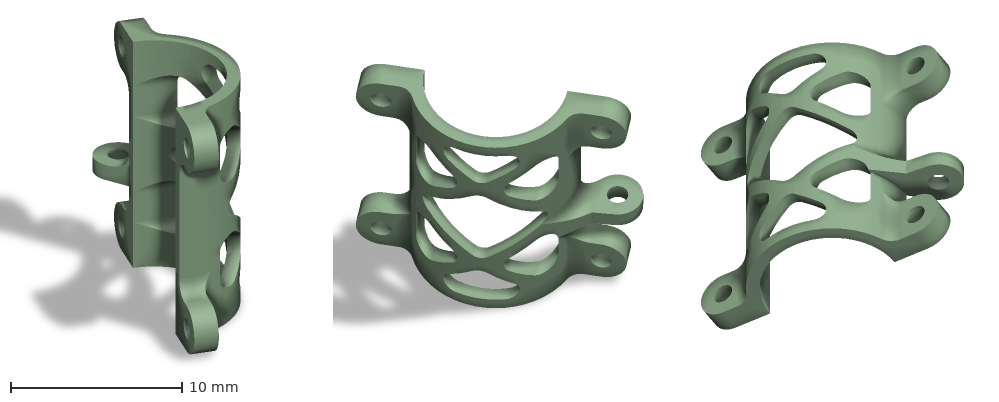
import cadquery as cq
import math

LENGTH = 15.0
BORE_RADIUS = 4.25
WALL = 0.8
OUTER_RADIUS = BORE_RADIUS + WALL

EAR_RADIUS = 1.5
EAR_THICKNESS = 1.5
EAR_HOLE_X = OUTER_RADIUS + EAR_RADIUS
EAR_HOLE_Z = LENGTH / 2 - EAR_RADIUS
HOLE_DIAMETER = 1.25
BLEND_RADIUS = 1.0

LUG_RADIUS = 1.5
LUG_THICKNESS = 1.0
LUG_TOP_Z = -1.5
LUG_BOTTOM_Z = LUG_TOP_Z - LUG_THICKNESS
LUG_HOLE_X = -7.24
LUG_BEND = (-6.0, 1.6)

WINDOW_FILLET = 0.75
DIAMOND_HALF_WIDTH = BORE_RADIUS
DIAMOND_HALF_HEIGHT = 3.08
STRUT_SLOPE = DIAMOND_HALF_HEIGHT / DIAMOND_HALF_WIDTH
CROSSING_Z = 3.5
END_WINDOW_TIP_Z = 2 * CROSSING_Z - DIAMOND_HALF_HEIGHT
SIDE_WINDOW_TIP_X = 0.86
RIM = WALL


def upright_cylinder(radius, bottom_z, height, centre_x=0):
    base = cq.Workplane("XY").workplane(offset=bottom_z)
    return base.center(centre_x, 0).circle(radius).extrude(height)


def make_shell():
    tube = upright_cylinder(OUTER_RADIUS, -LENGTH / 2, LENGTH)
    back_half = cq.Workplane("XY").box(
        2 * OUTER_RADIUS, OUTER_RADIUS, LENGTH, centered=(True, False, True)
    )
    return tube.intersect(back_half)


def ear_pin(radius, side, end):
    """Cylinder along Y on an ear's hole axis, as deep as the ear is thick."""
    plane = cq.Workplane("XZ").center(side * EAR_HOLE_X, end * EAR_HOLE_Z)
    return plane.circle(radius).extrude(-EAR_THICKNESS)


def make_ear(side, end):
    """Flat round-ended ear reaching from the bore radius out to its hole."""
    reach = EAR_HOLE_X - BORE_RADIUS
    plate = (
        cq.Workplane("XY")
        .box(reach, EAR_THICKNESS, 2 * EAR_RADIUS, centered=(True, False, True))
        .translate((side * (EAR_HOLE_X - reach / 2), 0, end * EAR_HOLE_Z))
    )
    return plate.union(ear_pin(EAR_RADIUS, side, end))


def blend_ears(body):
    """Round the corners where the ears meet the shell, along their backs and inner ends."""
    back_x = math.sqrt(OUTER_RADIUS**2 - EAR_THICKNESS**2)
    inner_edge_x = (back_x + OUTER_RADIUS) / 2
    inner_z = EAR_HOLE_Z - EAR_RADIUS
    for side in (-1, 1):
        for end in (-1, 1):
            back_edge = cq.selectors.NearestToPointSelector(
                (side * back_x, EAR_THICKNESS, end * EAR_HOLE_Z)
            )
            inner_edge = cq.selectors.NearestToPointSelector(
                (side * inner_edge_x, EAR_THICKNESS / 2, end * inner_z)
            )
            body = body.edges(cq.selectors.SumSelector(back_edge, inner_edge)).fillet(BLEND_RADIUS)
    return body


def tangent_point(x, y, centre_x, radius, turn):
    """Where a line from (x, y) touches a circle centred on the X axis; turn picks the side."""
    distance = math.hypot(x - centre_x, y)
    angle = math.atan2(y, x - centre_x) + turn * math.acos(radius / distance)
    return centre_x + radius * math.cos(angle), radius * math.sin(angle)


def make_lug():
    """Eye joined to the shell by an arm, with a concave blend from its top up the shell."""
    shell_touch = tangent_point(*LUG_BEND, 0, OUTER_RADIUS, -1)
    back_touch = tangent_point(*LUG_BEND, LUG_HOLE_X, LUG_RADIUS, 1)
    front_touch = tangent_point(-OUTER_RADIUS, 0, LUG_HOLE_X, LUG_RADIUS, -1)
    shell_middle_angle = math.atan2(shell_touch[1], -shell_touch[0]) / 2
    shell_middle = (
        -OUTER_RADIUS * math.cos(shell_middle_angle),
        OUTER_RADIUS * math.sin(shell_middle_angle),
    )
    column = (
        cq.Workplane("XY")
        .workplane(offset=LUG_BOTTOM_Z)
        .moveTo(-OUTER_RADIUS, 0)
        .lineTo(*front_touch)
        .threePointArc((LUG_HOLE_X - LUG_RADIUS, 0), back_touch)
        .lineTo(*LUG_BEND)
        .lineTo(*shell_touch)
        .threePointArc(shell_middle, (-OUTER_RADIUS, 0))
        .close()
        .extrude(LUG_THICKNESS + BLEND_RADIUS)
    )

    blend_toe = OUTER_RADIUS + BLEND_RADIUS
    blend_top_z = LUG_TOP_Z + BLEND_RADIUS
    sagitta = BLEND_RADIUS * (1 - math.sqrt(0.5))
    clear_radius = LUG_RADIUS - LUG_HOLE_X + WALL
    space_above = (
        cq.Workplane("XZ")
        .moveTo(blend_toe, LUG_TOP_Z)
        .threePointArc(
            (OUTER_RADIUS + sagitta, LUG_TOP_Z + sagitta),
            (OUTER_RADIUS, blend_top_z),
        )
        .lineTo(clear_radius, blend_top_z)
        .lineTo(clear_radius, LUG_TOP_Z)
        .close()
        .revolve(360, (0, 0, 0), (0, 1, 0))
    )
    return column.cut(space_above)


def window(corners):
    """Cutter through the back of the shell along Y, with rounded corners."""
    outline = cq.Workplane("XZ").polyline(corners).close()
    return outline.extrude(-OUTER_RADIUS).edges("|Y").fillet(WINDOW_FILLET)


def cut_windows(body):
    diamond = [
        (-DIAMOND_HALF_WIDTH, 0),
        (0, DIAMOND_HALF_HEIGHT),
        (DIAMOND_HALF_WIDTH, 0),
        (0, -DIAMOND_HALF_HEIGHT),
    ]
    body = body.cut(window(diamond))
    rim_z = LENGTH / 2 - RIM
    rim_x = (rim_z - END_WINDOW_TIP_Z) / STRUT_SLOPE
    side_half_height = (BORE_RADIUS - SIDE_WINDOW_TIP_X) * STRUT_SLOPE
    for end in (-1, 1):
        end_window = [
            (0, end * END_WINDOW_TIP_Z),
            (rim_x, end * rim_z),
            (-rim_x, end * rim_z),
        ]
        body = body.cut(window(end_window))
        middle_z = end * CROSSING_Z
        for side in (-1, 1):
            side_window = [
                (side * SIDE_WINDOW_TIP_X, middle_z),
                (side * BORE_RADIUS, middle_z + side_half_height),
                (side * BORE_RADIUS, middle_z - side_half_height),
            ]
            body = body.cut(window(side_window))
    return body


def drill_holes(body):
    for side in (-1, 1):
        for end in (-1, 1):
            body = body.cut(ear_pin(HOLE_DIAMETER / 2, side, end))
    return body.cut(upright_cylinder(HOLE_DIAMETER / 2, LUG_BOTTOM_Z, LUG_THICKNESS, LUG_HOLE_X))


body = make_shell()
for side in (-1, 1):
    for end in (-1, 1):
        body = body.union(make_ear(side, end))
body = blend_ears(body)
body = body.union(make_lug())
body = body.cut(upright_cylinder(BORE_RADIUS, -LENGTH / 2, LENGTH))
body = cut_windows(body)
result = drill_holes(body)